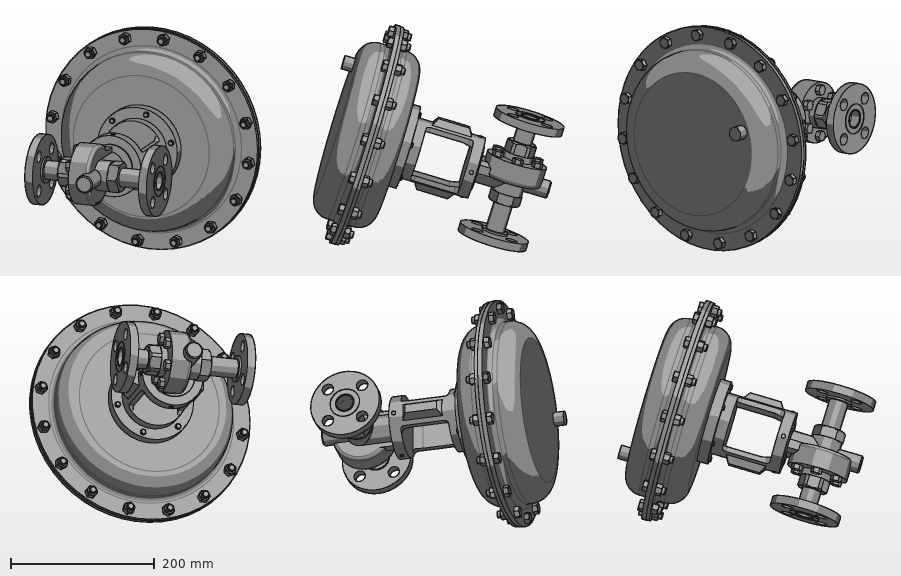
import cadquery as cq
import math


dome_radius = 127.8
dome_top = 255.3
dome_bottom = 165.0
dome_edge_round = 26.5
rim_root_round = 6.5
rim_top = 215.5
rim_split = 209.0
rim_bottom = 204.3
upper_rim_radius = 158.7
lower_rim_radius = 158.0

inlet_radius = 9.8
inlet_top = 270.0
inlet_x = -84.0
inlet_z = 28.5

rim_bolt_count = 16
rim_bolt_circle_radius = 147.5
first_rim_bolt_angle = 15.0
rim_nut_corners = 16.5
rim_head_turn = 21
rim_nut_turn = -8
nut_chamfer = 1.3
rim_head_height = 7.5
rim_nut_height = 8.8
rim_stud_radius = 5.0
rim_stud_tip = 5.2
stud_chamfer = 1.0

mount_radius = 59.5
mount_bottom = 150.0
mount_screw_count = 6
mount_screw_circle_radius = 52.5
first_mount_screw_angle = 15.0
mount_screw_radius = 4.0
mount_screw_height = 3.0

yoke_radius = 44.0
window_top = 135.0
window_bottom = 66.0
yoke_bottom = 50.5
arm_half_depth = 19.2
window_corner_round = 5.5
window_half_width = 32.2
window_foot_half_width = 29.3
window_taper_start = 79.7
rib_outer_x = 52.5
rib_middle = 99.0
rib_base_length = 58.0
rib_top_length = 45.0
rib_base_depth = 25.7
rib_top_depth = 12.7
rib_root_x = 41.5
set_screw_y = 57.5
set_screw_radius = 3.0
set_screw_height = 1.0

bonnet_disc_radius = 31.5
bonnet_disc_bottom = 48.5
stem_x = -2.3
neck_half_depth = 28.0
neck_nose_half_depth = 19.5
neck_nose_x = -15.5
neck_shoulder_x = -10.5

body_radius = 43.0
body_left = -28.3
body_right = 1.5
body_round = 4.5
hub_radius = 21.5
stem_radius = hub_radius
hub_end = 37.0
hex_flats = 39.0
hex_corners = hex_flats / math.cos(math.pi / 6)
left_hex_end = 54.0
right_hex_start = 20.8
right_hex_end = 35.8
left_hex_turned_radius = 21.0
hex_chamfer = 2.3
drain_radius = 12.5
drain_bottom = -55.3
drain_chamfer = 1.5
body_bolt_count = 6
first_body_bolt_angle = 30
body_bolt_circle_radius = 33.0
body_bolt_corners = 15.3
body_bolt_height = 6.8

pipe_radius = 13.3
bore_radius = 11.7
pipe_flange_radius = 49.5
pipe_flange_inner = 79.0
pipe_flange_outer = 90.7
weld_collar_radius = 18.5
weld_collar_start = 76.0
raised_face_radius = 21.0
raised_face_end = 91.7
pipe_hole_radius = 8.0
pipe_hole_count = 4
first_pipe_hole_angle = 45
pipe_hole_circle_radius = 34.8


def disc_y(radius, low, high, x=0, z=0):
    """Cylinder along Y between two stations."""
    return (
        cq.Workplane("XZ", origin=(x, high, z))
        .circle(radius)
        .extrude(high - low)
    )


def hexagon_y(corners, low, high, outer_end):
    """Hexagonal prism along Y with its corners chamfered at one end."""
    prism = cq.Workplane("XZ", origin=(0, high, 0)).polygon(6, corners).extrude(high - low)
    return prism.intersect(disc_y(corners / 2, low, high).faces(outer_end).chamfer(nut_chamfer))


def placed_hexagon(hexagon, x, z, turn):
    """Copy of a hexagon turned about its own Y axis and moved into place."""
    return hexagon.rotate((0, 0, 0), (0, 1, 0), -turn).translate((x, 0, z))


def disc_x(radius, low, high, y=0, z=0):
    """Cylinder along X between two stations."""
    return (
        cq.Workplane("YZ", origin=(low, y, z))
        .circle(radius)
        .extrude(high - low)
    )


def hexagon_x(corners, low, high, y=0, z=0):
    """Hexagonal prism along X with two corners pointing along Y."""
    return (
        cq.Workplane("YZ", origin=(low, y, z))
        .polygon(6, corners)
        .extrude(high - low)
    )


def ring_points(count, radius, first_angle):
    """Angle and position of evenly spaced places on a circle."""
    points = []
    for index in range(count):
        angle = first_angle + index * 360 / count
        turn = math.radians(angle)
        points.append((angle, radius * math.cos(turn), radius * math.sin(turn)))
    return points


def make_casing():
    shell = disc_y(dome_radius, dome_bottom, dome_top).edges().fillet(dome_edge_round)
    rim = disc_y(upper_rim_radius, rim_split, rim_top)
    rim = rim.union(disc_y(lower_rim_radius, rim_bottom, rim_split))
    casing = shell.union(rim)
    margin = 0.3
    for station in (rim_bottom, rim_top):
        root = cq.selectors.BoxSelector(
            (-dome_radius - margin, station - margin, -dome_radius - margin),
            (dome_radius + margin, station + margin, dome_radius + margin),
            boundingbox=True,
        )
        casing = casing.edges(root).fillet(rim_root_round)
    inlet = disc_y(inlet_radius, rim_top, inlet_top, inlet_x, inlet_z)
    return casing.union(inlet)


def add_rim_bolts(part):
    nut_bottom = rim_bottom - rim_nut_height
    stud_bottom = nut_bottom - rim_stud_tip
    head = hexagon_y(rim_nut_corners, rim_top, rim_top + rim_head_height, ">Y")
    nut = hexagon_y(rim_nut_corners, nut_bottom, rim_bottom, "<Y")
    for angle, x, z in ring_points(rim_bolt_count, rim_bolt_circle_radius, first_rim_bolt_angle):
        stud = disc_y(rim_stud_radius, stud_bottom, rim_bottom, x, z)
        stud = stud.faces("<Y").chamfer(stud_chamfer)
        part = part.union(placed_hexagon(head, x, z, angle + rim_head_turn))
        part = part.union(placed_hexagon(nut, x, z, angle + rim_nut_turn))
        part = part.union(stud)
    return part


def make_mount():
    mount = disc_y(mount_radius, mount_bottom, dome_bottom)
    screw_bottom = mount_bottom - mount_screw_height
    screws = ring_points(mount_screw_count, mount_screw_circle_radius, first_mount_screw_angle)
    for _, x, z in screws:
        screw = disc_y(mount_screw_radius, screw_bottom, mount_bottom, x, z)
        mount = mount.union(screw.faces("<Y").chamfer(stud_chamfer))
    return mount


def make_rib():
    """Tapered block on the outside of the +X arm."""
    return (
        cq.Workplane("YZ", origin=(rib_root_x, rib_middle, 0))
        .rect(rib_base_length, rib_base_depth)
        .workplane(offset=rib_outer_x - rib_root_x)
        .rect(rib_top_length, rib_top_depth)
        .loft(ruled=True)
    )


def make_yoke():
    yoke = disc_y(yoke_radius, yoke_bottom, mount_bottom)
    span = 2 * yoke_radius

    window = (
        cq.Workplane("XY")
        .moveTo(-window_half_width, window_top)
        .lineTo(window_half_width, window_top)
        .lineTo(window_half_width, window_taper_start)
        .lineTo(window_foot_half_width, window_bottom)
        .lineTo(-window_foot_half_width, window_bottom)
        .lineTo(-window_half_width, window_taper_start)
        .close()
        .extrude(span, both=True)
    )
    yoke = yoke.cut(window)

    relief_height = window_top - window_bottom
    for side in (-1, 1):
        relief = (
            cq.Workplane("XY")
            .box(2 * span, relief_height, span)
            .edges("|X")
            .fillet(window_corner_round)
            .translate((0, window_bottom + relief_height / 2, side * (arm_half_depth + span / 2)))
        )
        yoke = yoke.cut(relief)

    rib = make_rib()
    yoke = yoke.union(rib).union(rib.mirror("YZ"))

    screw_reach = yoke_radius + set_screw_height
    crosswise = disc_x(set_screw_radius, -screw_reach, screw_reach, y=set_screw_y)
    upright = crosswise.rotate((0, 0, 0), (0, 1, 0), 90)
    return yoke.union(crosswise).union(upright)


def make_bonnet():
    bonnet = disc_y(bonnet_disc_radius, bonnet_disc_bottom, yoke_bottom)
    stem = disc_y(stem_radius, 0, yoke_bottom, stem_x)
    stem = stem.intersect(disc_x(2 * yoke_bottom, 0, stem_radius))
    neck = (
        cq.Workplane("XZ", origin=(0, yoke_bottom, 0))
        .polyline([
            (body_right, neck_half_depth),
            (neck_shoulder_x, neck_half_depth),
            (neck_nose_x, neck_nose_half_depth),
            (neck_nose_x, -neck_nose_half_depth),
            (neck_shoulder_x, -neck_half_depth),
            (body_right, -neck_half_depth),
        ])
        .close()
        .extrude(yoke_bottom)
    )
    return bonnet.union(stem).union(neck)


def turned_hex(low, high, turned_radius, rounded_end):
    """Wrench hexagon turned to a given radius, with its corners chamfered at one end."""
    trim = disc_x(turned_radius, low, high).faces(rounded_end).chamfer(hex_chamfer)
    return hexagon_x(hex_corners, low, high).intersect(trim)


def make_body():
    body = disc_x(body_radius, body_left, body_right).faces(">X").edges().fillet(body_round)
    body = body.union(disc_x(hub_radius, -hub_end, right_hex_start))
    body = body.union(turned_hex(-left_hex_end, -hub_end, left_hex_turned_radius, "<X"))
    body = body.union(turned_hex(right_hex_start, right_hex_end, hex_corners / 2, ">X"))
    drain = disc_y(drain_radius, drain_bottom, 0).faces("<Y").chamfer(drain_chamfer)
    body = body.union(drain)
    bolt_left = body_left - body_bolt_height
    for _, y, z in ring_points(body_bolt_count, body_bolt_circle_radius, first_body_bolt_angle):
        body = body.union(hexagon_x(body_bolt_corners, bolt_left, body_left, y, z))
    return body


def make_pipe_end():
    """Pipe and bolted flange on the +X side, up to the valve body."""
    pipe = disc_x(pipe_radius, 0, pipe_flange_outer)
    pipe = pipe.union(disc_x(weld_collar_radius, weld_collar_start, pipe_flange_inner))
    pipe = pipe.union(disc_x(pipe_flange_radius, pipe_flange_inner, pipe_flange_outer))
    pipe = pipe.union(disc_x(raised_face_radius, pipe_flange_outer, raised_face_end))
    for _, y, z in ring_points(pipe_hole_count, pipe_hole_circle_radius, first_pipe_hole_angle):
        pipe = pipe.cut(disc_x(pipe_hole_radius, pipe_flange_inner, pipe_flange_outer, y, z))
    return pipe.cut(disc_x(pipe_radius, pipe_flange_outer, raised_face_end))


actuator = add_rim_bolts(make_casing()).union(make_mount()).union(make_yoke())
pipe_end = make_pipe_end()
valve = make_body().union(make_bonnet()).union(pipe_end).union(pipe_end.mirror("YZ"))
bore_end = -body_left
for low, high in ((-raised_face_end, -bore_end), (bore_end, raised_face_end)):
    valve = valve.cut(disc_x(bore_radius, low, high))

result = actuator.union(valve)